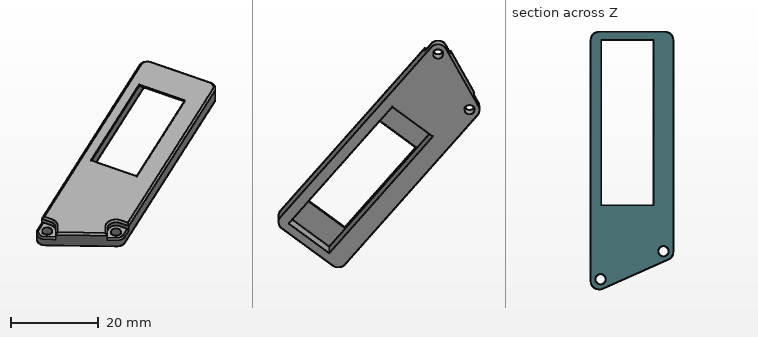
import cadquery as cq
import math

WIDTH = 19.0
LENGTH = 58.95
HEIGHT = 4.05
CORNER_RADIUS = 2.0
SLANT = math.radians(24)
TOP_CHAMFER = 0.5

PAD_HEIGHT = 2.5
PAD_CHAMFER = 0.4
PAD_RADIUS = 2.0
HOLE_DIAMETER = 2.3
HOLE_INSET = 2.3
LEFT_HOLE_Y = 2.35
RIGHT_HOLE_Y = LEFT_HOLE_Y + (WIDTH - 2 * HOLE_INSET) * math.tan(SLANT)
RECESS_REACH = 4.7

WINDOW_WIDTH = 11.55
WINDOW_LENGTH = 25.95
WINDOW_LEFT = 2.65
WINDOW_BACK_MARGIN = 7.85
WINDOW_SKIN = 0.5
POCKET_OVERHANG = 5.9
POCKET_CLEARANCE = 0.2

ALONG_SLANT = cq.Vector(math.cos(SLANT), math.sin(SLANT))
OUT_OF_SLANT = cq.Vector(math.sin(SLANT), -math.cos(SLANT))


def plate(height):
    """Rounded plate with its front edge slanted."""
    left_centre = cq.Vector(CORNER_RADIUS, CORNER_RADIUS)
    on_slant = left_centre + OUT_OF_SLANT * CORNER_RADIUS
    left_y = on_slant.y - on_slant.x * math.tan(SLANT)
    right_y = left_y + WIDTH * math.tan(SLANT)
    outline = [(0, left_y), (WIDTH, right_y), (WIDTH, LENGTH), (0, LENGTH)]
    solid = cq.Workplane("XY").polyline(outline).close().extrude(height)
    return solid.edges("|Z").fillet(CORNER_RADIUS)


def pad_recess(hole, outward):
    """Clearance around a hole, open to its side edge (outward = -1 or 1) and the slanted edge."""
    inward_along_slant = ALONG_SLANT * -outward
    up = cq.Vector(0, 1)
    arc_start = hole + up * PAD_RADIUS
    arc_middle = hole + (up + inward_along_slant).normalized() * PAD_RADIUS
    arc_end = hole + inward_along_slant * PAD_RADIUS
    side_end = arc_start + cq.Vector(outward * RECESS_REACH, 0)
    slant_end = arc_end + OUT_OF_SLANT * RECESS_REACH
    return (
        cq.Workplane("XY")
        .moveTo(side_end.x, side_end.y)
        .lineTo(arc_start.x, arc_start.y)
        .threePointArc(arc_middle.toTuple()[:2], arc_end.toTuple()[:2])
        .lineTo(slant_end.x, slant_end.y)
        .lineTo(side_end.x, slant_end.y)
        .close()
        .extrude(HEIGHT)
    )


left_hole = cq.Vector(HOLE_INSET, LEFT_HOLE_Y)
right_hole = cq.Vector(WIDTH - HOLE_INSET, RIGHT_HOLE_Y)

body = plate(HEIGHT).cut(pad_recess(left_hole, -1)).cut(pad_recess(right_hole, 1))
body = body.faces(">Z").edges().chamfer(TOP_CHAMFER)

pad_layer = plate(PAD_HEIGHT).faces(">Z").edges().chamfer(PAD_CHAMFER)
result = body.union(pad_layer)

for hole in (left_hole, right_hole):
    drill = cq.Workplane("XY").center(hole.x, hole.y).circle(HOLE_DIAMETER / 2).extrude(HEIGHT)
    result = result.cut(drill)

window_front = LENGTH - WINDOW_BACK_MARGIN - WINDOW_LENGTH
window = cq.Workplane("XY").box(WINDOW_WIDTH, WINDOW_LENGTH, HEIGHT, centered=False)
result = result.cut(window.translate((WINDOW_LEFT, window_front, 0)))
pocket_width = WINDOW_WIDTH + 2 * POCKET_CLEARANCE
pocket_length = WINDOW_LENGTH + 2 * POCKET_OVERHANG
pocket = cq.Workplane("XY").box(pocket_width, pocket_length, HEIGHT - WINDOW_SKIN, centered=False)
pocket_corner = (WINDOW_LEFT - POCKET_CLEARANCE, window_front - POCKET_OVERHANG, 0)
result = result.cut(pocket.translate(pocket_corner))